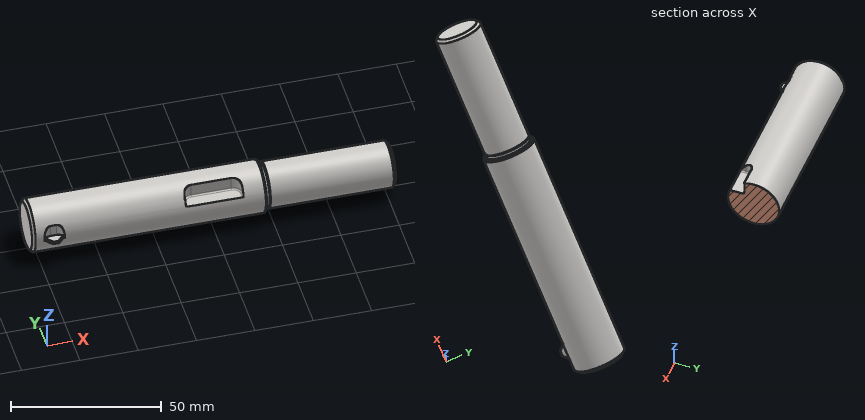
import cadquery as cq

total_length = 125.0
body_diameter = 18.2
body_length = 80.4
shank_diameter = 16.0
end_chamfer = 1.0
shoulder_chamfer = 0.5

groove_diameter = 15.6
groove_length = 1.5
groove_exit_length = 0.4

flat_center_x = 62.6
flat_length = 19.8
flat_corner_radius = 3.0
flat_wall_y = -3.4
flat_floor_z = 3.6
flat_floor_fillet = 0.5
insert_center_x = 7.5
insert_pocket_length = 8.0
insert_corner_radius = 3.0
insert_wall_y = -7.8
insert_floor_z = -0.1

insert_thickness = 1.0
insert_width = 5.8
insert_tip_width = 1.8
insert_tip_y = -10.9
insert_root_y = insert_wall_y

body_radius = body_diameter / 2
shank_radius = shank_diameter / 2
groove_radius = groove_diameter / 2


def make_bar():
    """Revolve the half profile of body, groove and shank about X."""
    groove_end = body_length + groove_length
    profile = [
        (0, 0),
        (0, body_radius - end_chamfer),
        (end_chamfer, body_radius),
        (body_length - shoulder_chamfer, body_radius),
        (body_length, body_radius - shoulder_chamfer),
        (body_length, groove_radius),
        (groove_end - groove_exit_length, groove_radius),
        (groove_end, shank_radius),
        (total_length - end_chamfer, shank_radius),
        (total_length, shank_radius - end_chamfer),
        (total_length, 0),
    ]
    return cq.Workplane("XY").polyline(profile).close().revolve(360, (0, 0, 0), (1, 0, 0))


def make_pocket_cutter(center_x, length, corner_radius, wall_y, floor_z):
    """Block with rounded inner corners, reaching past the -Y side and the top."""
    depth = body_diameter
    return (
        cq.Workplane("XY", origin=(center_x, wall_y - depth / 2, floor_z))
        .rect(length, depth)
        .extrude(body_diameter)
        .edges("|Z and >Y")
        .fillet(corner_radius)
    )


def make_insert():
    """Flat tooth with 45 degree flanks, narrowing to a blunt tip."""
    half_tip = insert_tip_width / 2
    half_width = insert_width / 2
    flank_end_y = insert_tip_y + half_width - half_tip
    outline = [
        (-half_width, insert_root_y),
        (-half_width, flank_end_y),
        (-half_tip, insert_tip_y),
        (half_tip, insert_tip_y),
        (half_width, flank_end_y),
        (half_width, insert_root_y),
    ]
    return (
        cq.Workplane("XY", origin=(insert_center_x, 0, 0))
        .polyline(outline)
        .close()
        .extrude(insert_thickness / 2, both=True)
    )


flat_cutter = make_pocket_cutter(
    flat_center_x, flat_length, flat_corner_radius, flat_wall_y, flat_floor_z
)
flat_cutter = flat_cutter.faces("<Z").edges("not <Y").fillet(flat_floor_fillet)
insert_cutter = make_pocket_cutter(
    insert_center_x, insert_pocket_length, insert_corner_radius, insert_wall_y, insert_floor_z
)

result = make_bar().cut(flat_cutter).cut(insert_cutter).union(make_insert())